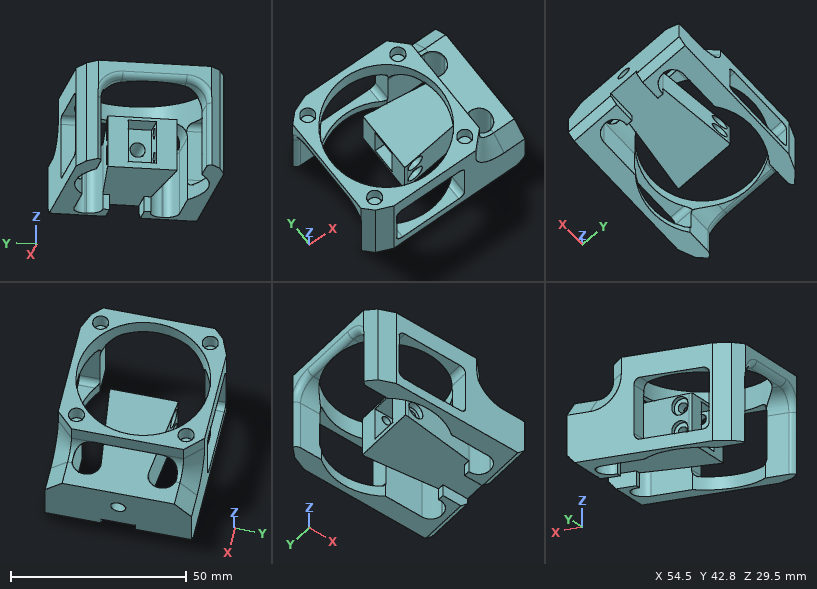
import cadquery as cq
import math

pick_margin = 0.05

length = 54.5
width = 42.8
height = 29.5
front_x = -21.15
rear_x = front_x + length
half_width = width / 2

step_x = 20.95
shelf_z = 19.6
step_radius = 5.0
side_chamfer = 5.0
rear_chamfer = 2.5

bevel_45 = 2.95
bevel_22_length = 5.05
bevel_22_width = bevel_22_length * math.tan(math.radians(22.5))

bore_diameter = 38.35
screw_diameter = 4.5
screw_spacing = 32.0
screw_depth = 5.0

cavity_half_width = 15.25
cavity_top_z = 24.5
arch_radius = 6.0
cavity_rear_x = 28.85
rear_fillet = 4.0
mouth_fillet = 2.0

window_x_min = -12.1
window_x_max = 11.9
window_z_min = 4.0
window_z_max = 22.55
window_radius = 2.0

tongue_front_x = -0.9
taper_start_x = 0.1
tongue_half_width = 10.0
taper_angle = math.radians(7)
tongue_base_z = 4.45
root_x = 24.35
slot_width = 10.0

pocket_width = 8.2
pocket_z_min = 6.25
pocket_z_max = 18.7
pocket_depth = 8.0
cable_hole_diameter = 4.3
cable_hole_z = 12.55
clamp_x = 3.15
clamp_heights = (9.2, 16.45)
clamp_diameter = 3.0
counterbore_diameter = 5.5
counterbore_half_gap = 7.65


def box(x_min, x_max, y_min, y_max, z_min, z_max):
    return cq.Workplane("XY").box(
        x_max - x_min, y_max - y_min, z_max - z_min, centered=False
    ).translate((x_min, y_min, z_min))


def stepped_block():
    """Side profile extruded across the width, chamfered along the step."""
    block = (
        cq.Workplane("XZ")
        .moveTo(front_x, 0)
        .lineTo(rear_x - rear_chamfer, 0)
        .lineTo(rear_x, rear_chamfer)
        .lineTo(rear_x, shelf_z)
        .lineTo(step_x + step_radius, shelf_z)
        .radiusArc((step_x, shelf_z + step_radius), step_radius)
        .lineTo(step_x, height)
        .lineTo(front_x, height)
        .close()
        .extrude(half_width, both=True)
    )
    for side in (-1, 1):
        near_side = cq.selectors.BoxSelector(
            (step_x - pick_margin, side * half_width - pick_margin, shelf_z - pick_margin),
            (rear_x - pick_margin, side * half_width + pick_margin, height - pick_margin),
        )
        block = block.edges(near_side).chamfer(side_chamfer)
    return block


def tongue_plan():
    """Tapered plan of the tongue, blended into the cavity rear wall by arcs."""
    arc_x = cavity_rear_x - rear_fillet
    side_y_at_arc = tongue_half_width - (arc_x - taper_start_x) * math.tan(taper_angle)
    arc_y = side_y_at_arc + rear_fillet / math.cos(taper_angle)
    tangent_x = arc_x - rear_fillet * math.sin(taper_angle)
    tangent_y = arc_y - rear_fillet * math.cos(taper_angle)
    mid_angle = (math.pi / 2 - taper_angle) / 2
    mid_x = arc_x + rear_fillet * math.cos(mid_angle)
    mid_y = arc_y - rear_fillet * math.sin(mid_angle)
    return (
        cq.Workplane("XY")
        .moveTo(tongue_front_x, -tongue_half_width)
        .lineTo(taper_start_x, -tongue_half_width)
        .lineTo(tangent_x, -tangent_y)
        .threePointArc((mid_x, -mid_y), (cavity_rear_x, -arc_y))
        .lineTo(cavity_rear_x, arc_y)
        .threePointArc((mid_x, mid_y), (tangent_x, tangent_y))
        .lineTo(taper_start_x, tongue_half_width)
        .lineTo(tongue_front_x, tongue_half_width)
        .close()
    )


def cavity():
    """Arched tunnel with a rounded rear end."""
    tunnel = box(front_x, cavity_rear_x, -cavity_half_width, cavity_half_width, 0, cavity_top_z)
    tunnel = tunnel.edges("|X and >Z").fillet(arch_radius)
    return tunnel.faces(">X").edges("not <Z").fillet(rear_fillet)


def round_mouth(body):
    """Round the edge of the cavity opening in the front face."""
    mouth = cq.selectors.BoxSelector(
        (front_x - pick_margin, -cavity_half_width - pick_margin, pick_margin),
        (front_x + pick_margin, cavity_half_width + pick_margin, cavity_top_z + pick_margin),
    )
    return body.edges(mouth).fillet(mouth_fillet)


def front_corner(side):
    """Waste outside the two-stage bevel on one front corner."""
    bevel_x = front_x + bevel_45
    bevel_y = half_width - bevel_22_width
    outside = half_width + bevel_45
    points = [
        (front_x, bevel_y - bevel_45),
        (bevel_x, bevel_y),
        (bevel_x + bevel_22_length, half_width),
        (bevel_x, outside),
        (front_x - bevel_45, outside),
        (front_x - bevel_45, bevel_y - bevel_45),
    ]
    return cq.Workplane("XY").polyline([(x, side * y) for x, y in points]).close().extrude(height)


def side_windows():
    window = box(window_x_min, window_x_max, -half_width, half_width, window_z_min, window_z_max)
    return window.edges("|Y").fillet(window_radius)


def screw_holes():
    return (
        cq.Workplane("XY", origin=(0, 0, height))
        .rect(screw_spacing, screw_spacing, forConstruction=True)
        .vertices()
        .circle(screw_diameter / 2)
        .extrude(-screw_depth)
    )


def tongue():
    return tongue_plan().extrude(shelf_z - tongue_base_z).translate((0, 0, tongue_base_z))


def tongue_root():
    """Stub of the tongue plan that runs down the rear wall to the base."""
    stub = box(root_x, cavity_rear_x, -cavity_half_width, cavity_half_width, 0, shelf_z)
    return tongue_plan().extrude(shelf_z).intersect(stub)


def base_slot():
    """Slot through the rear wall below the tongue."""
    return box(front_x, rear_x, -slot_width / 2, slot_width / 2, 0, tongue_base_z)


def fan_bore():
    return cq.Workplane("XY").circle(bore_diameter / 2).extrude(height)


def pocket():
    """Rectangular pocket sunk into the front face of the tongue."""
    pocket_rear_x = tongue_front_x + pocket_depth
    return box(
        tongue_front_x, pocket_rear_x, -pocket_width / 2, pocket_width / 2, pocket_z_min, pocket_z_max
    )


def cable_hole():
    """Round hole along the tongue, from its front face out through the rear wall."""
    plane = cq.Workplane("YZ", origin=(tongue_front_x, 0, cable_hole_z))
    return plane.circle(cable_hole_diameter / 2).extrude(rear_x - tongue_front_x)


def clamp_hole(z):
    """Cross hole through the tongue with a counterbore from each side."""
    plane = cq.Workplane("XZ", origin=(clamp_x, 0, z))
    cutter = plane.circle(clamp_diameter / 2).extrude(tongue_half_width, both=True)
    for side in (-1, 1):
        start = plane.workplane(offset=side * counterbore_half_gap)
        depth = tongue_half_width - counterbore_half_gap
        cutter = cutter.union(start.circle(counterbore_diameter / 2).extrude(side * depth))
    return cutter


result = stepped_block().cut(cavity())
result = round_mouth(result)
for side in (-1, 1):
    result = result.cut(front_corner(side))
result = result.cut(side_windows())
result = result.cut(fan_bore())

result = result.union(tongue()).union(tongue_root())
result = result.cut(base_slot())

result = result.cut(screw_holes())
result = result.cut(pocket())
result = result.cut(cable_hole())
for z in clamp_heights:
    result = result.cut(clamp_hole(z))